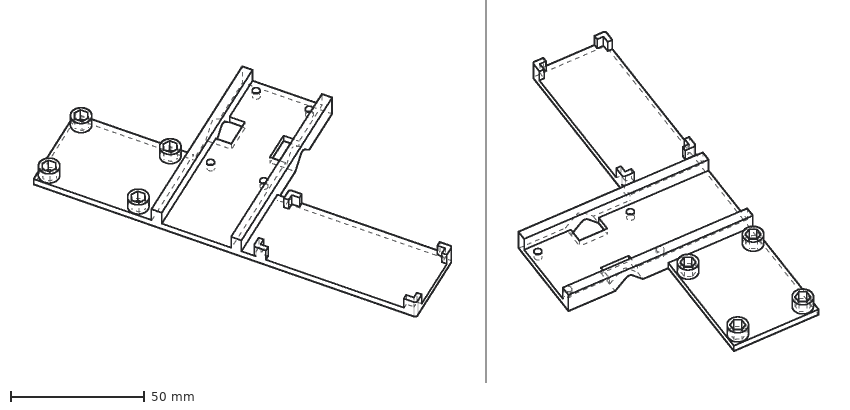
import cadquery as cq
import math

length = 158.5
plate_thickness = 3.0
left_wing_length = 48.8
left_wing_width = 36.8
right_wing_width = 31.7
channel_width = 37.2
channel_length = 80.0
corner_radius = 1.0

rail_thickness = 4.3
rail_top = 9.0
channel_center_x = left_wing_length + channel_width / 2
channel_right_x = left_wing_length + channel_width

window_width = 6.3
window_length = 12.0
window_center_y = 53.7
notch_apex_height = 6.0
notch_apex_radius = 1.9

hole_diameter = 3.0
hole_spacing_x = 22.0
hole_spacing_y = 40.1
hole_center_y = 56.0

post_top = 8.1
standoff_diameter = 8.1
standoff_edge_distance_x = 4.5
standoff_edge_distance_y = 4.3
standoff_spacing_x = 37.0
standoff_spacing_y = left_wing_width - 2 * standoff_edge_distance_y
nut_across_flats = 5.0

bracket_start_x = 91.0
bracket_thickness = 2.0
bracket_leg_x = 5.2
bracket_leg_y = 4.8


def block(x, y, z, size_x, size_y, size_z):
    """Box placed by its minimum corner."""
    return cq.Workplane("XY").box(size_x, size_y, size_z, centered=False).translate((x, y, z))


def make_plate():
    left_wing = block(0, 0, 0, left_wing_length, left_wing_width, plate_thickness)
    channel = block(left_wing_length, 0, 0, channel_width, channel_length, plate_thickness)
    right_wing = block(
        channel_right_x, 0, 0, length - channel_right_x, right_wing_width, plate_thickness
    )
    right_wing = right_wing.edges("|Z and >X").fillet(corner_radius)
    return left_wing.union(channel).union(right_wing)


def make_rails():
    left_rail = block(left_wing_length, 0, 0, rail_thickness, channel_length, rail_top)
    right_rail = left_rail.translate((channel_width - rail_thickness, 0, 0))
    return left_rail.union(right_rail)


def make_rail_notches():
    """Triangular prism with a rounded apex, crossing each rail."""
    half_width = window_length / 2
    prism = (
        cq.Workplane("YZ", origin=(left_wing_length, window_center_y, 0))
        .moveTo(-half_width, 0)
        .lineTo(half_width, 0)
        .lineTo(0, notch_apex_height)
        .close()
        .extrude(rail_thickness)
        .edges("|X and >Z")
        .fillet(notch_apex_radius)
    )
    return prism.union(prism.translate((channel_width - rail_thickness, 0, 0)))


def make_windows():
    window_offset = channel_width / 2 - rail_thickness - window_width / 2
    return (
        cq.Workplane("XY")
        .pushPoints([(channel_center_x + side * window_offset, window_center_y) for side in (-1, 1)])
        .rect(window_width, window_length)
        .extrude(plate_thickness)
    )


def make_screw_holes():
    return (
        cq.Workplane("XY", origin=(channel_center_x, hole_center_y, 0))
        .rarray(hole_spacing_x, hole_spacing_y, 2, 2)
        .circle(hole_diameter / 2)
        .extrude(plate_thickness)
    )


def make_standoffs():
    """Round posts, each with a hexagonal pocket down to the plate surface."""
    nut_across_corners = nut_across_flats / math.cos(math.radians(30))
    center_x = standoff_edge_distance_x + standoff_spacing_x / 2
    grid = cq.Workplane("XY", origin=(center_x, left_wing_width / 2, plate_thickness)).rarray(
        standoff_spacing_x, standoff_spacing_y, 2, 2
    )
    post_height = post_top - plate_thickness
    posts = grid.circle(standoff_diameter / 2).extrude(post_height)
    pockets = grid.polygon(6, nut_across_corners).extrude(post_height)
    return posts.cut(pockets)


def make_brackets():
    """L-shaped posts that hold the four corners of a rectangular module."""
    span_x = length - bracket_start_x
    frame = block(bracket_start_x, 0, 0, span_x, right_wing_width, post_top)
    frame = frame.edges("|Z").fillet(corner_radius)
    cavity = block(
        bracket_start_x + bracket_thickness,
        bracket_thickness,
        0,
        span_x - 2 * bracket_thickness,
        right_wing_width - 2 * bracket_thickness,
        post_top,
    )
    gap_x = block(
        bracket_start_x + bracket_leg_x, 0, 0, span_x - 2 * bracket_leg_x, right_wing_width, post_top
    )
    gap_y = block(
        bracket_start_x, bracket_leg_y, 0, span_x, right_wing_width - 2 * bracket_leg_y, post_top
    )
    return frame.cut(cavity).cut(gap_x).cut(gap_y)


result = (
    make_plate()
    .union(make_rails())
    .cut(make_rail_notches())
    .cut(make_windows())
    .cut(make_screw_holes())
    .union(make_standoffs())
    .union(make_brackets())
)